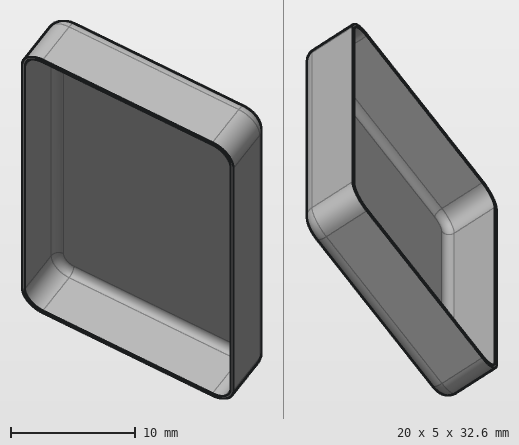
import cadquery as cq

width = 20.0
depth = 5.0
height = 32.6
wall = 0.3
corner_radius = 2.0
floor_edge_radius = 1.0


def rounded_block(inset):
    """Solid with rounded corners and a rounded +Y face, inset from the outer skin except at the mouth."""
    block = cq.Workplane("XY").box(
        width - 2 * inset, depth - inset, height - 2 * inset, centered=(True, False, True)
    )
    block = block.edges("|Y").fillet(corner_radius - inset)
    return block.faces(">Y").edges().fillet(floor_edge_radius - inset)


outer_body = rounded_block(0)
cavity = rounded_block(wall)

result = outer_body.cut(cavity)